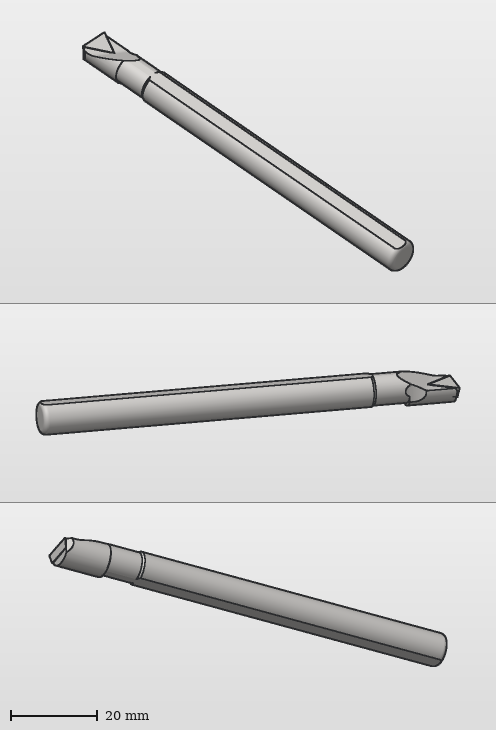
import cadquery as cq
import math

length = 100.0
shank_radius = 4.0
neck_radius = 3.7
neck_end = 19.9
shank_start = 20.5
end_rounding = 1.2
flat_height = 3.6

head_front = 0.5
head_end = 11.7
head_radius = 4.0
head_center_y = 0.2
head_center_z = -0.3
corner_start_y = -2.9
corner_length = 1.4
corner_depth = 0.9

insert_side = 7.6
insert_thickness = 2.5
clearance_angle = 7.0
approach_angle = 1.2
insert_tilt = 7.5
tip_y = 4.7
tip_z = 0.1

floor_drop = 0.2
fold_heading = 60.0
fold_x = 3.7
fold_y = -3.3
ramp_angle = 24.0
bend_radius = 4.0
pocket_reach = 30.0

relief_x = 10.9
relief_floor_y = 3.4
relief_radius = 6.0

tilt = math.radians(insert_tilt)
rake_normal = cq.Vector(0, math.sin(tilt), math.cos(tilt))


def rake_height(y):
    """Height of the insert's top plane at a given Y."""
    return tip_z + (tip_y - y) * math.tan(tilt)


def make_bar():
    """Turned neck and shank, trimmed by the two flats."""
    profile = (
        cq.Workplane("XY")
        .moveTo(head_end, 0)
        .lineTo(head_end, neck_radius)
        .lineTo(neck_end, neck_radius)
        .lineTo(shank_start, shank_radius)
        .lineTo(length, shank_radius)
        .lineTo(length, 0)
        .close()
    )
    turned = profile.revolve(360, (0, 0, 0), (1, 0, 0)).faces(">X").edges().fillet(end_rounding)
    flats = cq.Workplane("XY").box(2 * length, 4 * shank_radius, 2 * flat_height)
    return turned.intersect(flats)


def make_head():
    """Offset cylinder cut level with the top flat."""
    head = (
        cq.Workplane("YZ", origin=(head_front, head_center_y, head_center_z))
        .circle(head_radius)
        .extrude(head_end - head_front)
    )
    above_flat = (
        cq.Workplane("XY", origin=(0, 0, flat_height))
        .rect(4 * head_end, 4 * head_radius)
        .extrude(head_radius)
    )
    return head.cut(above_flat)


def make_corner_cut():
    """Wedge removed from the front -Y corner, made large enough to run clear of the head."""
    overrun = 2
    return (
        cq.Workplane("XY", origin=(0, 0, -2 * head_radius))
        .moveTo(head_front, corner_start_y)
        .lineTo(head_front + overrun * corner_length, corner_start_y - overrun * corner_depth)
        .lineTo(-head_front, corner_start_y - overrun * corner_depth)
        .lineTo(-head_front, corner_start_y)
        .close()
        .extrude(4 * head_radius)
    )


def make_chip_pocket():
    """Space above the floor and the ramp, with a rounded bend between them."""
    heading = math.radians(fold_heading)
    fold = cq.Vector(
        math.cos(heading), math.sin(heading), -math.sin(heading) * math.tan(tilt)
    ).normalized()
    toward_ramp = fold.cross(rake_normal)
    fold_point = cq.Vector(fold_x, fold_y, rake_height(fold_y)) - rake_normal * floor_drop
    section = cq.Plane(origin=fold_point, xDir=toward_ramp, normal=fold)
    ramp = math.radians(ramp_angle)
    bend = bend_radius * math.tan(ramp / 2)
    ramp_x = math.cos(ramp)
    ramp_y = -math.sin(ramp)
    arc_x = bend_radius * math.sin(ramp / 2) - bend
    arc_y = -bend_radius * (1 - math.cos(ramp / 2))
    return (
        cq.Workplane(section)
        .moveTo(-pocket_reach, 0)
        .lineTo(-bend, 0)
        .threePointArc((arc_x, arc_y), (bend * ramp_x, bend * ramp_y))
        .lineTo(pocket_reach * ramp_x, pocket_reach * ramp_y)
        .lineTo(-pocket_reach, pocket_reach * ramp_y)
        .close()
        .extrude(pocket_reach, both=True)
    )


def make_side_relief():
    """Vertical cylinder that scallops the +Y flank over its full height."""
    return (
        cq.Workplane("XY", origin=(relief_x, relief_floor_y + relief_radius, -2 * head_radius))
        .circle(relief_radius)
        .extrude(4 * head_radius)
    )


def make_insert():
    """Equilateral triangle with clearance on its sides, cutting tip at its +Y corner."""
    near = math.radians(-90 + approach_angle)
    far = near + math.radians(60)
    return (
        cq.Workplane(cq.Plane(origin=(0, tip_y, tip_z), xDir=(1, 0, 0), normal=rake_normal))
        .moveTo(0, 0)
        .lineTo(insert_side * math.cos(near), insert_side * math.sin(near))
        .lineTo(insert_side * math.cos(far), insert_side * math.sin(far))
        .close()
        .extrude(-insert_thickness, taper=clearance_angle)
    )


insert = make_insert().cut(make_corner_cut())

holder = make_bar().union(make_head())
holder = holder.cut(make_corner_cut()).cut(make_chip_pocket())
holder = holder.cut(make_side_relief()).cut(insert)

result = cq.Compound.makeCompound([holder.solids().val(), insert.solids().val()])